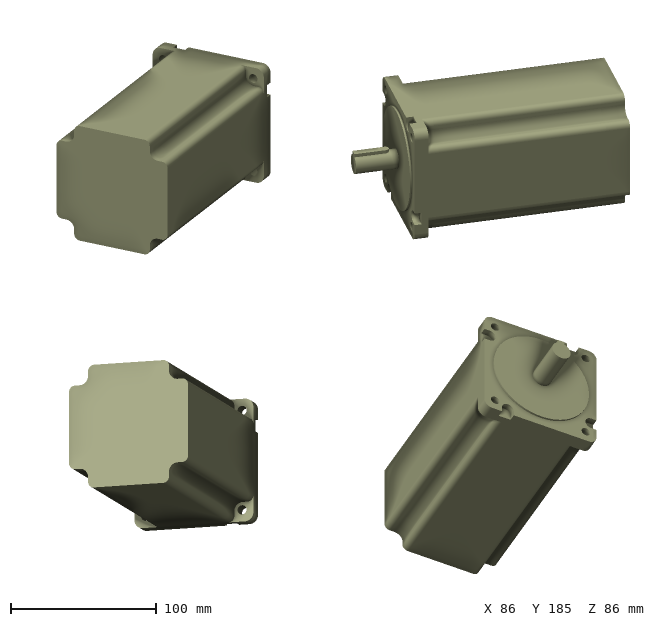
import cadquery as cq


frame_size = 86.0
half_frame = frame_size / 2
motor_length = 153.0

plate_thickness = 10.0
flange_length = 17.0
plate_corner_radius = 6.0
mount_hole_spacing = 69.6
mount_hole_diameter = 6.5
pilot_diameter = 73.0
pilot_height = 1.5

relief_depth = 13.75
relief_inner_radius = 6.25
relief_outer_radius = 4.25

notch_offset = 25.0
notch_radius = 4.5
notch_axis_inset = 4.0
notch_depth = 5.0

cap_length = 17.0
cap_hole_diameter = 4.5
cap_hole_offset = 25.0
cap_hole_inset = 4.3
cap_hole_floor = 0.6

shaft_reach = 32.0
shaft_diameter = 14.0
key_width = 5.0
key_length = 25.0
key_top = 9.0

stator_front = -flange_length
cap_front = cap_length - motor_length
side_angles = (0, 90, 180, 270)


def plane_at(y):
    """XZ sketch plane at a given Y; extrusions run toward -Y."""
    return cq.Workplane("XZ", origin=(0, y, 0))


def relieved_section(y_front, length):
    """Square bar with a rounded square relief cut along each corner."""
    bar = plane_at(y_front).rect(frame_size, frame_size).extrude(length)
    relief_center = half_frame - relief_depth / 2
    reliefs = (
        plane_at(y_front)
        .rect(2 * relief_center, 2 * relief_center, forConstruction=True)
        .vertices()
        .rect(relief_depth, relief_depth)
        .extrude(length)
    )
    bar = bar.cut(reliefs)
    inner_wall = half_frame - relief_depth
    for x_sign in (-1, 1):
        for z_sign in (-1, 1):
            inner_corner = (x_sign * inner_wall, y_front - length / 2, z_sign * inner_wall)
            bar = bar.edges(cq.NearestToPointSelector(inner_corner)).fillet(relief_inner_radius)
            for outer_corner in (
                (x_sign * inner_wall, y_front - length / 2, z_sign * half_frame),
                (x_sign * half_frame, y_front - length / 2, z_sign * inner_wall),
            ):
                bar = bar.edges(cq.NearestToPointSelector(outer_corner)).fillet(relief_outer_radius)
    return bar


def make_plate_notch():
    """Round-bottomed notch in the top edge, open to the front face."""
    axis_z = half_frame - notch_axis_inset
    round_bottom = plane_at(0).center(-notch_offset, axis_z).circle(notch_radius).extrude(notch_depth)
    opening = (
        plane_at(0)
        .center(-notch_offset, axis_z + notch_radius)
        .rect(2 * notch_radius, 2 * notch_radius)
        .extrude(notch_depth)
    )
    return round_bottom.union(opening)


def make_flange():
    plate = plane_at(0).rect(frame_size, frame_size).extrude(plate_thickness)
    plate = plate.edges("|Y").fillet(plate_corner_radius)
    mount_holes = (
        plane_at(0)
        .rect(mount_hole_spacing, mount_hole_spacing, forConstruction=True)
        .vertices()
        .circle(mount_hole_diameter / 2)
        .extrude(plate_thickness)
    )
    plate = plate.cut(mount_holes)
    notch = make_plate_notch()
    for angle in side_angles:
        plate = plate.cut(notch.rotate((0, 0, 0), (0, 1, 0), angle))
    pilot = plane_at(pilot_height).circle(pilot_diameter / 2).extrude(pilot_height)
    back = relieved_section(-plate_thickness, flange_length - plate_thickness)
    return plate.union(pilot).union(back)


def make_stator():
    return relieved_section(stator_front, motor_length - flange_length - cap_length)


def make_rear_cap():
    cap = relieved_section(cap_front, cap_length)
    hole = (
        plane_at(cap_front)
        .center(cap_hole_offset, half_frame - cap_hole_inset)
        .circle(cap_hole_diameter / 2)
        .extrude(cap_length - cap_hole_floor)
    )
    for angle in side_angles:
        cap = cap.cut(hole.rotate((0, 0, 0), (0, 1, 0), angle))
    return cap


def make_shaft():
    """Shaft standing on the pilot face, with a key rounded at its inner end."""
    shaft = plane_at(shaft_reach).circle(shaft_diameter / 2).extrude(shaft_reach - pilot_height)
    half_width = key_width / 2
    key_end = shaft_reach - key_length
    key = (
        cq.Workplane("XY")
        .moveTo(-half_width, shaft_reach)
        .lineTo(-half_width, key_end + half_width)
        .threePointArc((0, key_end), (half_width, key_end + half_width))
        .lineTo(half_width, shaft_reach)
        .close()
        .extrude(key_top)
    )
    return shaft.union(key)


flange = make_flange()
stator = make_stator()
rear_cap = make_rear_cap()
shaft = make_shaft()

result = cq.Compound.makeCompound([flange.val(), stator.val(), rear_cap.val(), shaft.val()])